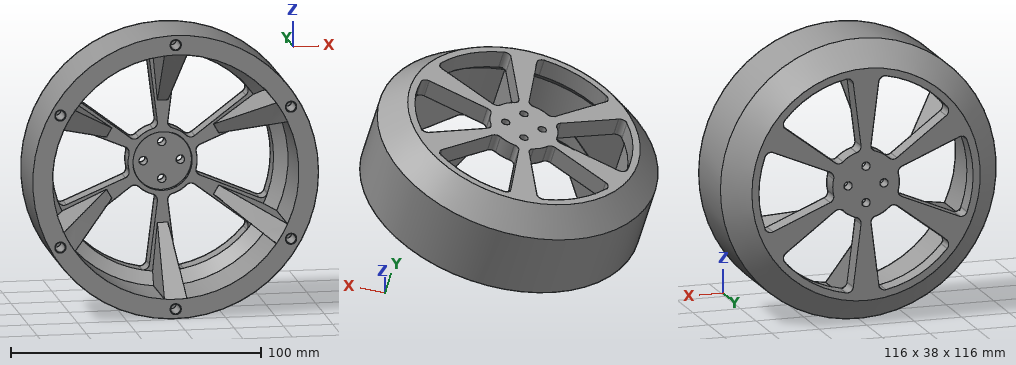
import cadquery as cq
outer_radius = 58.0
width = 38.0
back_chamfer = 10.0
floor_thickness = 8.0
cavity_radius = 50.0
window_radius = 45.0
front_y = -width / 2
floor_depth = width - floor_thickness
cavity_cone = cavity_radius - window_radius

hub_radius = 14.0
hub_recess_diameter = 24.0
hub_recess_depth = 2.0
hub_hole_diameter = 3.4
hub_hole_circle_radius = 7.5
hub_hole_count = 4

spoke_count = 6
spoke_inner_width = 3.7
spoke_outer_width = 11.5
window_fillet = 2.5
rib_start_radius = 25.0
rib_inner_width = 4.3
rib_outer_width = 9.2

rim_hole_diameter = 4.0
rim_hole_circle_radius = 54.0
rim_hole_depth = 10.0
rim_hole_chamfer = 0.29

spoke_pitch = 360 / spoke_count


def front_plane(depth):
    """Sketch plane facing -Y at a depth behind the front face; sketch X is +X, sketch Y is +Z."""
    return cq.Workplane("XZ", origin=(0, front_y + depth, 0))


def revolve_about_axis(points):
    """Revolve an outline of (radius, depth) points about the wheel axis."""
    outline = [(radius, front_y + depth) for radius, depth in points]
    return cq.Workplane("XY").polyline(outline).close().revolve(360, (0, 0), (0, 1))


def around_axis(shape):
    """Join copies of a shape, one for each spoke."""
    copies = shape
    for index in range(1, spoke_count):
        copies = copies.union(shape.rotate((0, 0, 0), (0, 1, 0), index * spoke_pitch))
    return copies


def make_shell():
    """Rim and solid floor, with a chamfered back edge and a cone at the foot of the cavity."""
    rim = revolve_about_axis([
        (0, 0),
        (outer_radius, 0),
        (outer_radius, width - back_chamfer),
        (outer_radius - back_chamfer, width),
        (0, width),
    ])
    cavity = revolve_about_axis([
        (0, 0),
        (cavity_radius, 0),
        (cavity_radius, floor_depth - cavity_cone),
        (window_radius, floor_depth),
        (0, floor_depth),
    ])
    return rim.cut(cavity)


def tapered_bar(start, end, start_width, end_width, depth, length):
    """Bar along +Z from one radius to another, running back from a depth."""
    return (
        front_plane(depth)
        .polyline([
            (-start_width / 2, start),
            (start_width / 2, start),
            (end_width / 2, end),
            (-end_width / 2, end),
        ])
        .close()
        .extrude(-length)
    )


def make_windows():
    """Floor openings between neighbouring spokes, with rounded corners."""
    ring = front_plane(floor_depth).circle(window_radius).circle(hub_radius).extrude(-floor_thickness)
    taper = (spoke_outer_width - spoke_inner_width) / (window_radius - hub_radius)
    start = hub_radius / 2
    end = outer_radius
    spoke = tapered_bar(
        start,
        end,
        spoke_inner_width - taper * (hub_radius - start),
        spoke_outer_width + taper * (end - window_radius),
        floor_depth,
        floor_thickness,
    )
    return ring.cut(around_axis(spoke)).edges("|Y").fillet(window_fillet)


def make_ribs():
    """Ribs rising from the spokes to the front edge of the cavity along a conical slope."""
    bar = tapered_bar(rib_start_radius, cavity_radius, rib_inner_width, rib_outer_width, 0, floor_depth)
    slope = revolve_about_axis([
        (rib_start_radius, floor_depth),
        (cavity_radius, 0),
        (cavity_radius, floor_depth - cavity_cone),
        (window_radius, floor_depth),
    ])
    return around_axis(bar.intersect(slope))


def make_hub_cuts():
    """Round recess in the hub and the through holes in its floor."""
    recess = front_plane(floor_depth).circle(hub_recess_diameter / 2).extrude(-hub_recess_depth)
    holes = (
        front_plane(floor_depth)
        .polarArray(hub_hole_circle_radius, 0, 360, hub_hole_count)
        .circle(hub_hole_diameter / 2)
        .extrude(-floor_thickness)
    )
    return recess.union(holes)


def make_rim_holes():
    """Blind holes in the rim with chamfered mouths, one in line with each spoke."""
    hole_radius = rim_hole_diameter / 2
    mouth_radius = hole_radius + rim_hole_chamfer
    hole = (
        cq.Workplane("XY")
        .polyline([
            (0, front_y),
            (mouth_radius, front_y),
            (hole_radius, front_y + rim_hole_chamfer),
            (hole_radius, front_y + rim_hole_depth),
            (0, front_y + rim_hole_depth),
        ])
        .close()
        .revolve(360, (0, 0), (0, 1))
        .translate((0, 0, rim_hole_circle_radius))
    )
    return around_axis(hole)


result = (
    make_shell()
    .cut(make_windows())
    .union(make_ribs())
    .cut(make_hub_cuts())
    .cut(make_rim_holes())
)